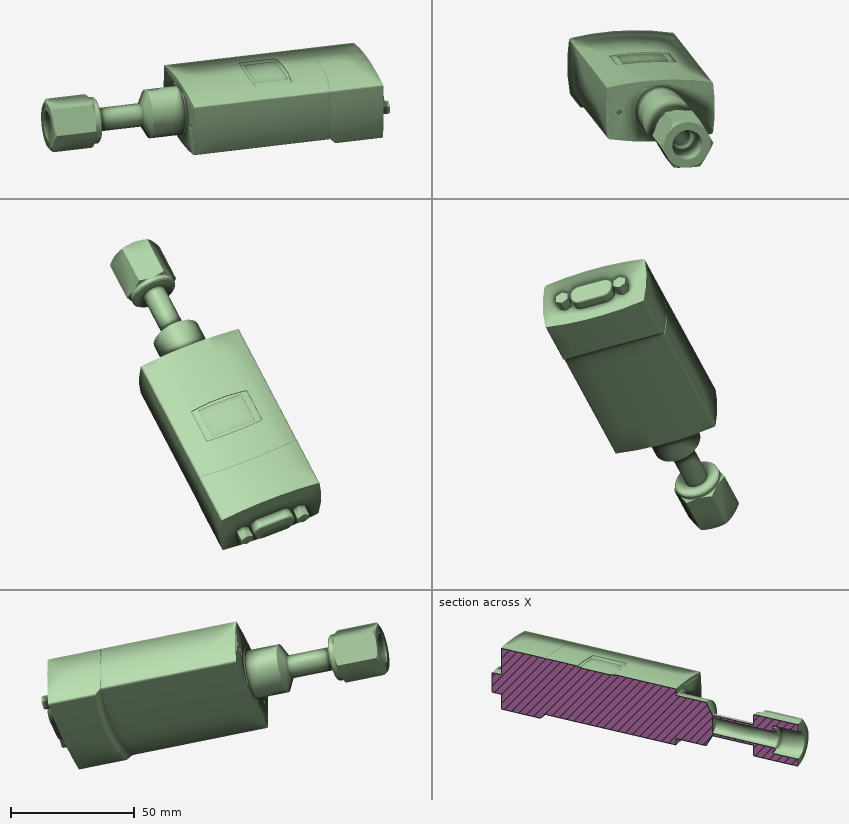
import cadquery as cq
import math


HOUSING_LENGTH = 79.7
HALF_WIDTH = 22.5
HALF_HEIGHT = 12.9
CORNER_X = 21.7
CORNER_Z = 10.8
CORNER_RADIUS = 0.8
REAR_DROP = 2.2
SEAM_Y = 57.1
SEAM_TURN_Z = 10.5
SEAM_GAP = 0.4
SEAM_DEPTH = 0.35

BUTTON_Y = 36.4
BUTTON_HALF_WIDTH = 12.5
BUTTON_HALF_LENGTH = 8.5
BUTTON_END_HALF_LENGTH = 7.8
BUTTON_CORNER = 0.8
BUTTON_DEPTH = 0.3
BUTTON_GAP = 0.35
WINDOW_WIDTH = 19.2
WINDOW_LENGTH = 14.0
WINDOW_DEPTH = 0.5

PANEL_INSET = 1.7
PANEL_GAP = 0.21
PANEL_GAP_DEPTH = 0.3
PANEL_GAP_START_X = 7.7
SCREW_X = 16.9
SCREW_HOLE_DIAMETER = 6.5
SCREW_HEAD_DIAMETER = 6.0
SCREW_GAP_DEPTH = 0.4
SOCKET_DIAMETER = 2.4
SOCKET_DEPTH = 1.1

FLANGE_DIAMETER = 23.1
FLANGE_HEIGHT = 19.6
FLANGE_THICKNESS = 0.4
BARREL_DIAMETER = 19.9
BARREL_END = 13.6
CONE_END = 16.5
TUBE_DIAMETER = 9.5
COLLAR_START = 35.0
COLLAR_DIAMETER = 19.0
COLLAR_CHAMFER = 0.5
NUT_START = 37.2
NUT_END = 55.4
NUT_FLATS = 19.0
NUT_CHAMFER_ANGLE = 30
NUT_BORE_DIAMETER = 12.3
NUT_BORE_DEPTH = 11.2
GLAND_DIAMETER = 10.6
GLAND_BORE_DIAMETER = 7.0

CONNECTOR_Z = -3.8
SHELL_WIDTH = 19.5
SHELL_HEIGHT = 9.1
SHELL_LENGTH = 4.3
SHELL_SLANT = 10
SHELL_CORNER = 3.8
SHELL_EDGE = 0.8
POST_X = 12.5
POST_FLATS = 5.0
POST_LENGTH = 4.8

OVERLAP = 0.7
CLEARANCE = 84


def side_bulge_x(z):
    """X of the side arc, which passes through (CORNER_X, +-CORNER_Z) and (HALF_WIDTH, 0)."""
    rise = HALF_WIDTH - CORNER_X
    radius = (CORNER_Z**2 + rise**2) / (2 * rise)
    return HALF_WIDTH - radius + math.sqrt(radius**2 - z**2)


def housing_prism(drop, inset=0):
    """Full-length housing body, its lower side moved down by drop and its outline moved in by inset."""
    low_x = side_bulge_x(CORNER_Z + drop)
    low_z = -CORNER_Z - drop
    outline = (
        cq.Workplane("XZ")
        .moveTo(-CORNER_X, CORNER_Z)
        .threePointArc((0, HALF_HEIGHT), (CORNER_X, CORNER_Z))
        .threePointArc((HALF_WIDTH, 0), (low_x, low_z))
        .threePointArc((0, -HALF_HEIGHT - drop), (-low_x, low_z))
        .threePointArc((-HALF_WIDTH, 0), (-CORNER_X, CORNER_Z))
        .close()
    )
    if inset:
        return outline.offset2D(-inset).extrude(-HOUSING_LENGTH)
    return outline.extrude(-HOUSING_LENGTH).edges("|Y").fillet(CORNER_RADIUS)


def behind_seam(shift):
    """Space behind the joint, which slopes back at 45 degrees above and below the sides."""
    seam = SEAM_Y + shift
    reach = HALF_HEIGHT
    return (
        cq.Workplane("YZ")
        .moveTo(CLEARANCE + seam, SEAM_TURN_Z + reach)
        .lineTo(seam + reach, SEAM_TURN_Z + reach)
        .lineTo(seam, SEAM_TURN_Z)
        .lineTo(seam, -SEAM_TURN_Z)
        .lineTo(seam + reach, -SEAM_TURN_Z - reach)
        .lineTo(CLEARANCE + seam, -SEAM_TURN_Z - reach)
        .close()
        .extrude(CLEARANCE, both=True)
    )


def make_housing():
    front = housing_prism(0).cut(behind_seam(-SEAM_GAP / 2))
    rear = housing_prism(REAR_DROP).intersect(behind_seam(SEAM_GAP / 2))
    core = housing_prism(0, SEAM_DEPTH)
    return front.union(rear).union(core)


def button_prism(inset):
    """Upright body with bowed front and rear sides, its outline moved in by inset."""
    x = BUTTON_HALF_WIDTH - inset
    end_y = BUTTON_END_HALF_LENGTH - inset
    middle_y = BUTTON_HALF_LENGTH - inset
    return (
        cq.Workplane("XY", origin=(0, BUTTON_Y, 0))
        .moveTo(-x, -end_y)
        .threePointArc((0, -middle_y), (x, -end_y))
        .lineTo(x, end_y)
        .threePointArc((0, middle_y), (-x, end_y))
        .close()
        .extrude(CLEARANCE)
        .edges("|Z")
        .fillet(BUTTON_CORNER - inset)
    )


def make_button_cut():
    """Sunk button face, with a deeper groove around it and a deeper window in its middle."""
    window = (
        cq.Workplane("XY", origin=(0, BUTTON_Y, 0))
        .rect(WINDOW_WIDTH, WINDOW_LENGTH)
        .extrude(CLEARANCE)
    )
    groove = button_prism(0).cut(button_prism(BUTTON_GAP))
    deep = groove.union(window).cut(housing_prism(0, WINDOW_DEPTH))
    face = button_prism(0).cut(housing_prism(0, BUTTON_DEPTH))
    return deep.union(face)


def make_panel_gap():
    """Fine groove inside the front rim, left out across the middle."""
    ring = housing_prism(0, PANEL_INSET).cut(housing_prism(0, PANEL_INSET + PANEL_GAP))
    middle = cq.Workplane("XY").box(2 * PANEL_GAP_START_X, 3 * HOUSING_LENGTH, CLEARANCE)
    front_layer = cq.Workplane("XY").box(CLEARANCE, 2 * PANEL_GAP_DEPTH, CLEARANCE)
    return ring.intersect(front_layer).cut(middle)


def make_screw_gaps():
    """Ring gap around each screw head and the socket in the head."""
    spots = [(-SCREW_X, 0), (SCREW_X, 0)]
    front = cq.Workplane("XZ").pushPoints(spots)
    holes = front.circle(SCREW_HOLE_DIAMETER / 2).extrude(-SCREW_GAP_DEPTH)
    heads = front.circle(SCREW_HEAD_DIAMETER / 2).extrude(-SCREW_GAP_DEPTH)
    sockets = front.circle(SOCKET_DIAMETER / 2).extrude(-SOCKET_DEPTH)
    return holes.cut(heads).union(sockets)


def make_stem():
    """Flange, barrel, cone, tube and nut collar."""
    flange = (
        cq.Workplane("XZ", origin=(0, OVERLAP, 0))
        .circle(FLANGE_DIAMETER / 2)
        .extrude(OVERLAP + FLANGE_THICKNESS)
        .intersect(cq.Workplane("XY").box(CLEARANCE, CLEARANCE, FLANGE_HEIGHT))
    )
    collar_radius = COLLAR_DIAMETER / 2
    turned = (
        cq.Workplane("XY")
        .moveTo(0, OVERLAP)
        .lineTo(BARREL_DIAMETER / 2, OVERLAP)
        .lineTo(BARREL_DIAMETER / 2, -BARREL_END)
        .lineTo(TUBE_DIAMETER / 2, -CONE_END)
        .lineTo(TUBE_DIAMETER / 2, -COLLAR_START)
        .lineTo(collar_radius - COLLAR_CHAMFER, -COLLAR_START)
        .lineTo(collar_radius, -COLLAR_START - COLLAR_CHAMFER)
        .lineTo(collar_radius, -NUT_START - OVERLAP)
        .lineTo(0, -NUT_START - OVERLAP)
        .close()
        .revolve(360, (0, 0, 0), (0, 1, 0))
    )
    return flange.union(turned)


def corner_diameter(flats):
    """Size across the corners of a hexagon with the given size across flats."""
    return flats / math.cos(math.pi / 6)


def make_nut():
    """Hexagon with two flats facing up and down and its corners turned off at both ends."""
    corner_radius = corner_diameter(NUT_FLATS) / 2
    corner_depth = corner_radius - NUT_FLATS / 2
    corner_length = corner_depth * math.tan(math.radians(NUT_CHAMFER_ANGLE))
    hexagon = (
        cq.Workplane("XZ", origin=(0, -NUT_START, 0))
        .polygon(6, 2 * corner_radius)
        .extrude(NUT_END - NUT_START)
    )
    turned = (
        cq.Workplane("XZ", origin=(0, -NUT_START, 0))
        .circle(corner_radius)
        .extrude(NUT_END - NUT_START)
        .faces("<Y or >Y")
        .edges()
        .chamfer(corner_length, corner_depth)
    )
    return hexagon.intersect(turned)


def make_bore():
    """Nut bore, whose floor carries the round-edged gland of the tube, and the tube bore."""
    floor_y = NUT_BORE_DEPTH - NUT_END
    nut_bore = (
        cq.Workplane("XZ", origin=(0, floor_y, 0))
        .circle(NUT_BORE_DIAMETER / 2)
        .extrude(NUT_BORE_DEPTH)
    )
    bead_radius = (GLAND_DIAMETER - GLAND_BORE_DIAMETER) / 4
    ring_radius = GLAND_DIAMETER / 2 - bead_radius
    bead = (
        cq.Workplane("XY")
        .center(ring_radius, floor_y)
        .circle(bead_radius)
        .revolve(360, (-ring_radius, 0), (-ring_radius, 1))
    )
    tube_bore = (
        cq.Workplane("XZ", origin=(0, -CONE_END, 0))
        .circle(GLAND_BORE_DIAMETER / 2)
        .extrude(NUT_END - CONE_END)
    )
    return nut_bore.cut(bead).union(tube_bore)


def make_connector():
    """D-shaped connector shell between two hexagonal posts."""
    lean = SHELL_HEIGHT * math.tan(math.radians(SHELL_SLANT))
    top_z = CONNECTOR_Z + SHELL_HEIGHT / 2
    bottom_z = CONNECTOR_Z - SHELL_HEIGHT / 2
    start = cq.Workplane("XZ", origin=(0, HOUSING_LENGTH - OVERLAP, 0))
    shell = (
        start.moveTo(-SHELL_WIDTH / 2, top_z)
        .lineTo(SHELL_WIDTH / 2, top_z)
        .lineTo(SHELL_WIDTH / 2 - lean, bottom_z)
        .lineTo(-SHELL_WIDTH / 2 + lean, bottom_z)
        .close()
        .extrude(-SHELL_LENGTH - OVERLAP)
        .edges("|Y")
        .fillet(SHELL_CORNER)
        .faces(">Y")
        .edges()
        .fillet(SHELL_EDGE)
    )
    post = (
        start.polygon(6, corner_diameter(POST_FLATS))
        .extrude(-POST_LENGTH - OVERLAP)
        .rotate((0, 0, 0), (0, 1, 0), 90)
    )
    connector = shell
    for x in (-POST_X, POST_X):
        connector = connector.union(post.translate((x, 0, CONNECTOR_Z)))
    return connector


housing = make_housing().cut(make_button_cut()).cut(make_panel_gap()).cut(make_screw_gaps())
fitting = make_stem().union(make_nut()).cut(make_bore())
result = housing.union(fitting).union(make_connector())